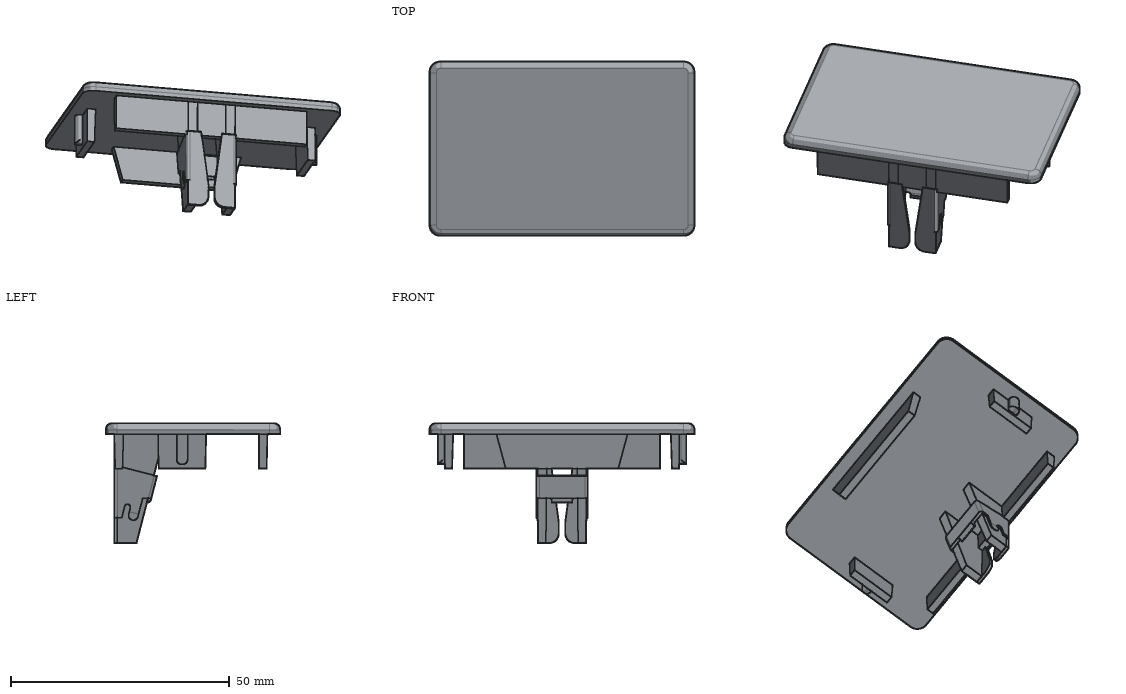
import cadquery as cq
import math

PLATE_LENGTH = 60.75
PLATE_WIDTH = 40.0
PLATE_THICKNESS = 2.55
PLATE_CORNER_RADIUS = 2.55
PLATE_EDGE_RADIUS = 1.5

WALL_DEPTH = 7.9
BACK_WALL_LENGTH = 44.9
BACK_WALL_OUTER_Y = 18.05
BACK_WALL_INNER_Y = 15.9
WALL_DRAFT = 0.25
FRONT_WALL_TOP_LENGTH = 30.0
FRONT_WALL_BOTTOM_LENGTH = 25.75
FRONT_WALL_OUTER_Y = 17.1
FRONT_WALL_INNER_Y = 15.05
FRONT_WALL_DRAFT = 0.2
SIDE_WALL_OUTER_X = 26.85
SIDE_WALL_INNER_X = 24.9
SIDE_WALL_CENTER_Y = 2.5
SIDE_WALL_WIDTH = 11.05
SIDE_WALL_END_DRAFT = 0.2

RIB_WIDTH = 2.5
RIB_REACH = 1.65
RIB_DEPTH = 6.85
RIB_BOTTOM_RADIUS = 1.05

ARM_DEPTH = 24.95
ARM_OUTER_X = 5.5
ARM_INNER_TOP_X = 3.35
ARM_INNER_BOTTOM_X = 3.7
ARM_FRONT_TOP_Y = 6.5
ARM_FRONT_BOTTOM_Y = 12.95
LEAN = math.atan((ARM_FRONT_BOTTOM_Y - ARM_FRONT_TOP_Y) / ARM_DEPTH)

CLIP_SIDE_THICKNESS = 0.4
CLIP_THICKNESS = 0.7
CLIP_OUTER_X = ARM_OUTER_X + CLIP_SIDE_THICKNESS
CLIP_BACK_Y = BACK_WALL_OUTER_Y
ARM_BACK_Y = CLIP_BACK_Y - CLIP_THICKNESS
CLIP_TOP_FRONT_Z = -9.4
BAND_BOTTOM_Z = -14.65
CLIP_SIDE_BOTTOM_Z = -19.1

SLOT_RADIUS = 0.65
SLOT_CENTER_Y = 15.0
SLOT_CENTER_Z = -16.7
LEG_RADIUS = 1.1
LEG_TIP_Z = -18.6
LEG_RAMP_DROP = 0.35
LEG_RAMP_START = 0.6

TONGUE_WIDTH = 4.75
TONGUE_ROOT_RADIUS = 0.5
CURL_OUTER_RADIUS = 1.1

FINGER_TOP_GAP_X = 2.55
FINGER_GAP_TOP_Z = -6.45
FINGER_GAP_X = 0.7
FINGER_STRAIGHT_TOP_Z = -20.05
FINGER_TIP_RADIUS = 2.25


def arm_front_y(z):
    """Y of the leaning front face of the arms at height z."""
    return ARM_FRONT_TOP_Y - z * math.tan(LEAN)


def clip_top_z(y):
    """Height of the clip's sloping top edge, which is square to the arm fronts."""
    return CLIP_TOP_FRONT_Z + (y - arm_front_y(CLIP_TOP_FRONT_Z)) * math.tan(LEAN)


def tapered_block(top, bottom, depth):
    """Block from Z = 0 down to -depth; top and bottom are (x0, x1, y0, y1)."""
    def section(bounds, z):
        x0, x1, y0, y1 = bounds
        corners = [(x0, y0), (x1, y0), (x1, y1), (x0, y1)]
        return cq.Wire.makePolygon([cq.Vector(x, y, z) for x, y in corners], close=True)

    solid = cq.Solid.makeLoft([section(top, 0), section(bottom, -depth)], True)
    return cq.Workplane(obj=solid)


def mirrored_pair(shape):
    """The shape together with its mirror image across X = 0."""
    return [shape, shape.mirror("YZ")]


def make_plate():
    return (
        cq.Workplane("XY")
        .rect(PLATE_LENGTH, PLATE_WIDTH)
        .extrude(PLATE_THICKNESS)
        .edges("|Z").fillet(PLATE_CORNER_RADIUS)
        .faces(">Z").edges().fillet(PLATE_EDGE_RADIUS)
    )


def make_back_wall():
    x = BACK_WALL_LENGTH / 2
    return tapered_block(
        (-x, x, BACK_WALL_INNER_Y, BACK_WALL_OUTER_Y),
        (-x, x, BACK_WALL_INNER_Y + WALL_DRAFT, BACK_WALL_OUTER_Y - WALL_DRAFT),
        WALL_DEPTH,
    )


def make_front_wall():
    top_x = FRONT_WALL_TOP_LENGTH / 2
    bottom_x = FRONT_WALL_BOTTOM_LENGTH / 2
    return tapered_block(
        (-top_x, top_x, -FRONT_WALL_OUTER_Y, -FRONT_WALL_INNER_Y),
        (-bottom_x, bottom_x, FRONT_WALL_DRAFT - FRONT_WALL_OUTER_Y, -FRONT_WALL_INNER_Y),
        WALL_DEPTH,
    )


def make_side_wall():
    y0 = SIDE_WALL_CENTER_Y - SIDE_WALL_WIDTH / 2
    y1 = SIDE_WALL_CENTER_Y + SIDE_WALL_WIDTH / 2
    return tapered_block(
        (SIDE_WALL_INNER_X, SIDE_WALL_OUTER_X, y0, y1),
        (
            SIDE_WALL_INNER_X + WALL_DRAFT,
            SIDE_WALL_OUTER_X,
            y0 + SIDE_WALL_END_DRAFT,
            y1 - SIDE_WALL_END_DRAFT,
        ),
        WALL_DEPTH,
    )


def make_rib():
    """Rib with a half-round nose, rounded along its two lower side edges."""
    radius = RIB_WIDTH / 2
    straight = RIB_REACH - radius
    nose = (
        cq.Workplane("XY")
        .moveTo(SIDE_WALL_OUTER_X, SIDE_WALL_CENTER_Y - radius)
        .line(straight, 0)
        .threePointArc(
            (SIDE_WALL_OUTER_X + RIB_REACH, SIDE_WALL_CENTER_Y),
            (SIDE_WALL_OUTER_X + straight, SIDE_WALL_CENTER_Y + radius),
        )
        .line(-straight, 0)
        .close()
        .extrude(-RIB_DEPTH)
    )
    rounded = (
        cq.Workplane("XY")
        .box(RIB_REACH, RIB_WIDTH, RIB_DEPTH, centered=(False, True, False))
        .translate((SIDE_WALL_OUTER_X, SIDE_WALL_CENTER_Y, -RIB_DEPTH))
        .edges("|X and <Z").fillet(RIB_BOTTOM_RADIUS)
    )
    return nose.intersect(rounded)


def make_arm():
    """Drafted arm, thickened at the back above the clip."""
    arm = tapered_block(
        (ARM_INNER_TOP_X, ARM_OUTER_X, ARM_FRONT_TOP_Y, ARM_BACK_Y),
        (ARM_INNER_BOTTOM_X, ARM_OUTER_X, ARM_FRONT_BOTTOM_Y, ARM_BACK_Y),
        ARM_DEPTH,
    )
    root_height = -clip_top_z(CLIP_BACK_Y)
    root = cq.Workplane("XY").box(
        ARM_OUTER_X - ARM_INNER_TOP_X, CLIP_THICKNESS, root_height, centered=False
    ).translate((ARM_INNER_TOP_X, ARM_BACK_Y, -root_height))
    return arm.union(root)


def make_housing():
    housing = make_plate().union(make_back_wall()).union(make_front_wall())
    for feature in (make_side_wall(), make_rib(), make_arm()):
        for copy in mirrored_pair(feature):
            housing = housing.union(copy)
    return housing


def leaning_prism(half_width, front_y, back_y):
    """Full-height prism with a vertical back and a front parallel to the arm fronts."""
    run = ARM_DEPTH * math.tan(LEAN)
    return (
        cq.Workplane("YZ")
        .polyline([(front_y, 0), (back_y, 0), (back_y, -ARM_DEPTH), (front_y + run, -ARM_DEPTH)])
        .close()
        .extrude(half_width, both=True)
    )


def make_clip_tube():
    """Sleeve round both arms, with rounded outer corners."""
    front_y = ARM_FRONT_TOP_Y - CLIP_THICKNESS / math.cos(LEAN)
    outer = leaning_prism(CLIP_OUTER_X, front_y, CLIP_BACK_Y)
    outer = outer.edges("not(#Z or |X)").fillet(CLIP_THICKNESS)
    inner = leaning_prism(ARM_OUTER_X, ARM_FRONT_TOP_Y, ARM_BACK_Y)
    return outer.cut(inner)


def slot_axis_y(z):
    """Y of the leaning slot axis at height z."""
    return SLOT_CENTER_Y + (SLOT_CENTER_Z - z) * math.tan(LEAN)


def leg_tip_y():
    """Y of the centre of the leg's round tip; the leg lies right beside the slot."""
    return slot_axis_y(LEG_TIP_Z) - (SLOT_RADIUS + LEG_RADIUS) / math.cos(LEAN)


def make_clip_outline():
    """Side outline of the clip: square to the leaning front at the top, slot and leg below."""
    across_y = math.cos(LEAN)
    across_z = math.sin(LEAN)

    def across(y, z, distance):
        """Point at a distance toward the front, square to the lean."""
        return (y - distance * across_y, z - distance * across_z)

    far_front = arm_front_y(CLIP_TOP_FRONT_Z) - 2 * CLIP_THICKNESS

    slot_back = across(SLOT_CENTER_Y, SLOT_CENTER_Z, -SLOT_RADIUS)
    slot_top = (SLOT_CENTER_Y - SLOT_RADIUS * across_z, SLOT_CENTER_Z + SLOT_RADIUS * across_y)
    slot_front = across(SLOT_CENTER_Y, SLOT_CENTER_Z, SLOT_RADIUS)
    slot_mouth_y = slot_axis_y(CLIP_SIDE_BOTTOM_Z) + SLOT_RADIUS / across_y

    tip_y = leg_tip_y()
    tip_back = across(tip_y, LEG_TIP_Z, -LEG_RADIUS)
    tip_end = (tip_y + LEG_RADIUS * across_z, LEG_TIP_Z - LEG_RADIUS * across_y)
    tip_front = across(tip_y, LEG_TIP_Z, LEG_RADIUS)
    leg_root_y = slot_axis_y(BAND_BOTTOM_Z) - (SLOT_RADIUS + 2 * LEG_RADIUS) / across_y

    return (
        cq.Workplane("YZ")
        .moveTo(far_front, clip_top_z(far_front))
        .lineTo(CLIP_BACK_Y, clip_top_z(CLIP_BACK_Y))
        .lineTo(CLIP_BACK_Y, CLIP_SIDE_BOTTOM_Z)
        .lineTo(slot_mouth_y, CLIP_SIDE_BOTTOM_Z)
        .lineTo(*slot_back)
        .threePointArc(slot_top, slot_front)
        .lineTo(*tip_back)
        .threePointArc(tip_end, tip_front)
        .lineTo(leg_root_y, BAND_BOTTOM_Z)
        .lineTo(far_front, BAND_BOTTOM_Z)
        .close()
        .extrude(CLIP_OUTER_X, both=True)
    )


def make_leg_ramp():
    """Wedge that tapers the outside of the leg tip into a lead-in ramp."""
    length = LEG_RAMP_START + LEG_RADIUS
    return (
        cq.Workplane("XZ")
        .moveTo(CLIP_OUTER_X, LEG_RAMP_START)
        .line(0, -length)
        .line(-LEG_RAMP_DROP, 0)
        .close()
        .extrude(LEG_RADIUS, both=True)
        .rotate((0, 0, 0), (1, 0, 0), math.degrees(LEAN))
        .translate((0, leg_tip_y(), LEG_TIP_Z))
    )


def make_finger_plate():
    """Back plate that carries the fingers down to the arm ends."""
    return cq.Workplane("XY").box(
        2 * ARM_OUTER_X, CLIP_THICKNESS, ARM_DEPTH + CLIP_SIDE_BOTTOM_Z, centered=(True, False, False)
    ).translate((0, ARM_BACK_Y, -ARM_DEPTH))


def make_finger_gap():
    """Opening between the fingers, narrowing downward and flared round the tips."""
    tip_x = FINGER_GAP_X + FINGER_TIP_RADIUS
    tip_z = FINGER_TIP_RADIUS - ARM_DEPTH
    diagonal = FINGER_TIP_RADIUS * math.sqrt(0.5)
    arc_middle = (tip_x - diagonal, tip_z - diagonal)
    return (
        cq.Workplane("XZ", origin=(0, ARM_BACK_Y, 0))
        .moveTo(-FINGER_TOP_GAP_X, FINGER_GAP_TOP_Z)
        .lineTo(FINGER_TOP_GAP_X, FINGER_GAP_TOP_Z)
        .lineTo(FINGER_GAP_X, FINGER_STRAIGHT_TOP_Z)
        .lineTo(FINGER_GAP_X, tip_z)
        .threePointArc(arc_middle, (tip_x, -ARM_DEPTH))
        .lineTo(-tip_x, -ARM_DEPTH)
        .threePointArc((-arc_middle[0], arc_middle[1]), (-FINGER_GAP_X, tip_z))
        .lineTo(-FINGER_GAP_X, FINGER_STRAIGHT_TOP_Z)
        .close()
        .extrude(-CLIP_THICKNESS)
    )


def make_tongue():
    """Quarter curl that turns the lower edge of the front band inward."""
    inner_radius = CURL_OUTER_RADIUS - CLIP_THICKNESS
    back_y = arm_front_y(BAND_BOTTOM_Z)
    front_y = back_y - CLIP_THICKNESS
    center_y = back_y + inner_radius
    diagonal = math.sqrt(0.5)
    half_width = TONGUE_WIDTH / 2
    root_half_width = half_width + TONGUE_ROOT_RADIUS
    curl = (
        cq.Workplane("YZ")
        .moveTo(front_y, BAND_BOTTOM_Z)
        .threePointArc(
            (center_y - CURL_OUTER_RADIUS * diagonal, BAND_BOTTOM_Z - CURL_OUTER_RADIUS * diagonal),
            (center_y, BAND_BOTTOM_Z - CURL_OUTER_RADIUS),
        )
        .lineTo(center_y, BAND_BOTTOM_Z - inner_radius)
        .threePointArc(
            (center_y - inner_radius * diagonal, BAND_BOTTOM_Z - inner_radius * diagonal),
            (back_y, BAND_BOTTOM_Z),
        )
        .close()
        .extrude(root_half_width, both=True)
    )
    flare_z = BAND_BOTTOM_Z - TONGUE_ROOT_RADIUS
    flare_inset = TONGUE_ROOT_RADIUS * (1 - diagonal)
    front_outline = (
        cq.Workplane("XZ", origin=(0, center_y, 0))
        .moveTo(-root_half_width, BAND_BOTTOM_Z)
        .lineTo(root_half_width, BAND_BOTTOM_Z)
        .threePointArc(
            (half_width + flare_inset, BAND_BOTTOM_Z - flare_inset), (half_width, flare_z)
        )
        .lineTo(half_width, BAND_BOTTOM_Z - CURL_OUTER_RADIUS)
        .lineTo(-half_width, BAND_BOTTOM_Z - CURL_OUTER_RADIUS)
        .lineTo(-half_width, flare_z)
        .threePointArc(
            (-half_width - flare_inset, BAND_BOTTOM_Z - flare_inset), (-root_half_width, BAND_BOTTOM_Z)
        )
        .close()
        .extrude(center_y - front_y)
    )
    return curl.intersect(front_outline)


def make_clip():
    clip = make_clip_tube().intersect(make_clip_outline())
    for ramp in mirrored_pair(make_leg_ramp()):
        clip = clip.cut(ramp)
    clip = clip.union(make_finger_plate()).cut(make_finger_gap())
    return clip.union(make_tongue())


clip = make_clip()
housing = make_housing().cut(clip)

result = cq.Compound.makeCompound([housing.solids().val(), clip.solids().val()])